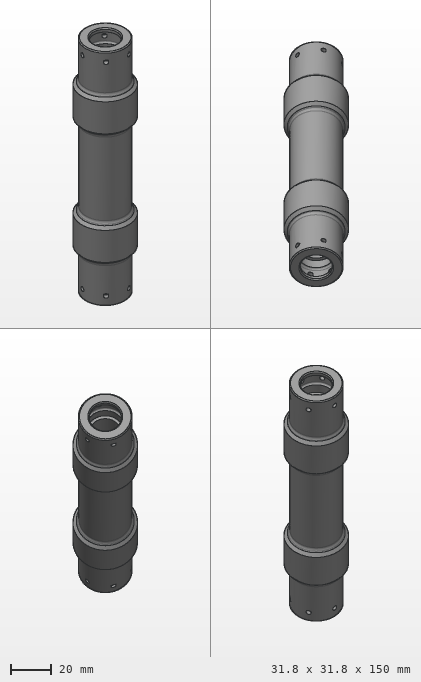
import cadquery as cq
import math

LENGTH = 150.0
END_RADIUS = 26.5 / 2
END_CHAMFER = 0.6
WAIST_RADIUS = 13.0
BORE_RADIUS = 7.5

SEAT_RADIUS = 14.2
SLEEVE_RADIUS = 15.9
SLEEVE_CENTER = 37.0
SLEEVE_LENGTH = 22.2
SEAT_FILLET = 2.4

MOUTH_RADIUS = 8.0
MOUTH_CHAMFER = 0.6
MOUTH_DEPTH = 2.2
GROOVE_RADIUS = 10.2
GROOVE_DEPTH = 9.9
GROOVE_FILLET = 1.0
SOCKET_DEPTH = 15.0

HOLE_COUNT = 6
HOLE_DIAMETER = 2.5
HOLE_DEPTH = 6.0

SIN_45 = math.sin(math.radians(45))
SIN_22 = math.sin(math.radians(22.5))
COS_22 = math.cos(math.radians(22.5))


def revolve(profile):
    """Close a profile and turn it about the Z axis."""
    return profile.close().revolve(360, (0, 0, 0), (0, 1, 0))


def flare_points(neck_radius, seat_edge, outward):
    """Fillet from a neck to a seat flank: its point on the neck, its middle and its point on the flank.

    seat_edge is the z where the flank reaches the seat, and outward (+1 or -1) points to the neck.
    """
    flank_radius = neck_radius + SEAT_FILLET * (1 - SIN_45)
    flank_z = seat_edge + outward * (SEAT_RADIUS - flank_radius)
    neck_z = flank_z + outward * SEAT_FILLET * SIN_45
    middle_radius = neck_radius + SEAT_FILLET * (1 - COS_22)
    middle_z = neck_z - outward * SEAT_FILLET * SIN_22
    return (neck_radius, neck_z), (middle_radius, middle_z), (flank_radius, flank_z)


def make_shaft_blank():
    """Shaft with its seats, flanks and necks, and with only the plain bore through it."""
    seat_low = SLEEVE_CENTER - SLEEVE_LENGTH / 2
    seat_high = SLEEVE_CENTER + SLEEVE_LENGTH / 2
    profile = (
        cq.Workplane("XZ")
        .moveTo(BORE_RADIUS, 0)
        .lineTo(END_RADIUS - END_CHAMFER, 0)
        .lineTo(END_RADIUS, END_CHAMFER)
    )
    profile = add_seat(profile, seat_low, seat_high, END_RADIUS, WAIST_RADIUS)
    profile = add_seat(profile, LENGTH - seat_high, LENGTH - seat_low, WAIST_RADIUS, END_RADIUS)
    profile = (
        profile.lineTo(END_RADIUS, LENGTH - END_CHAMFER)
        .lineTo(END_RADIUS - END_CHAMFER, LENGTH)
        .lineTo(BORE_RADIUS, LENGTH)
    )
    return revolve(profile)


def add_seat(profile, low, high, neck_below, neck_above):
    """Carry the outline upward from one neck, over a seat between low and high, to the next neck."""
    neck_start, middle, flank_end = flare_points(neck_below, low, -1)
    profile = (
        profile.lineTo(*neck_start)
        .threePointArc(middle, flank_end)
        .lineTo(SEAT_RADIUS, low)
        .lineTo(SEAT_RADIUS, high)
    )
    neck_end, middle, flank_start = flare_points(neck_above, high, 1)
    return profile.lineTo(*flank_start).threePointArc(middle, neck_end)


def make_socket():
    """Space inside the lower shaft end: mouth, groove with a rounded floor, and counterbore."""
    counterbore_radius = GROOVE_RADIUS - GROOVE_FILLET
    groove_middle = (
        counterbore_radius + GROOVE_FILLET * SIN_45,
        GROOVE_DEPTH - GROOVE_FILLET * (1 - SIN_45),
    )
    profile = (
        cq.Workplane("XZ")
        .lineTo(MOUTH_RADIUS + MOUTH_CHAMFER, 0)
        .lineTo(MOUTH_RADIUS, MOUTH_CHAMFER)
        .lineTo(MOUTH_RADIUS, MOUTH_DEPTH)
        .lineTo(GROOVE_RADIUS, MOUTH_DEPTH)
        .lineTo(GROOVE_RADIUS, GROOVE_DEPTH - GROOVE_FILLET)
        .threePointArc(groove_middle, (counterbore_radius, GROOVE_DEPTH))
        .lineTo(counterbore_radius, SOCKET_DEPTH)
        .lineTo(0, SOCKET_DEPTH)
    )
    return revolve(profile)


def make_radial_holes():
    """Ring of drill cylinders that run outward from the axis near the lower shaft end."""
    drill = (
        cq.Workplane("YZ")
        .center(0, HOLE_DEPTH)
        .circle(HOLE_DIAMETER / 2)
        .extrude(SLEEVE_RADIUS)
    )
    pitch = 360 / HOLE_COUNT
    return [drill.rotate((0, 0, 0), (0, 0, 1), index * pitch) for index in range(HOLE_COUNT)]


def make_shaft():
    """Blank with the same socket and radial holes cut into both ends."""
    shaft_body = make_shaft_blank()
    for cutter in [make_socket(), *make_radial_holes()]:
        shaft_body = shaft_body.cut(cutter)
        shaft_body = shaft_body.cut(cutter.mirror("XY").translate((0, 0, LENGTH)))
    return shaft_body


def make_sleeve(center_z):
    """Ring on a seat, tapering at 45 degrees to the seat radius at both ends."""
    end = SLEEVE_LENGTH / 2
    band = end - (SLEEVE_RADIUS - SEAT_RADIUS)
    profile = (
        cq.Workplane("XZ")
        .moveTo(SEAT_RADIUS, center_z - end)
        .lineTo(SLEEVE_RADIUS, center_z - band)
        .lineTo(SLEEVE_RADIUS, center_z + band)
        .lineTo(SEAT_RADIUS, center_z + end)
    )
    return revolve(profile)


shaft = make_shaft()
sleeves = [make_sleeve(center_z) for center_z in (SLEEVE_CENTER, LENGTH - SLEEVE_CENTER)]
result = cq.Compound.makeCompound([shaft.val(), *[sleeve.val() for sleeve in sleeves]])